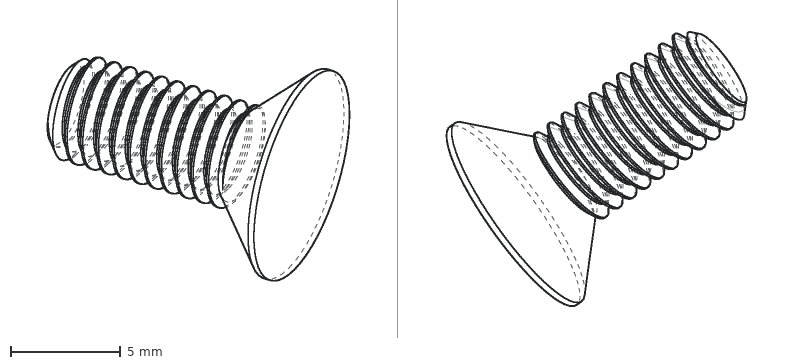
import cadquery as cq
import math

total_length = 12.0
major_radius = 2.5
pitch = 0.8

head_radius = 5.0
head_rim = 0.3
cone_angle = 90.0
cone_slope = math.tan(math.radians(cone_angle / 2))
rim_start = total_length - head_rim

thread_angle = 60.0
flat_width = pitch / 8
flank_width = pitch / 2 - flat_width
flank_slope = math.tan(math.radians(thread_angle / 2))
thread_depth = flank_width / flank_slope
root_radius = major_radius - thread_depth

groove_offset = flat_width / 2 + pitch / 2
first_turn = -1
turn_count = 13
cutter_overlap = 0.04

tip_chamfer = 0.6
tip_radius = major_radius - tip_chamfer


def turned(points):
    """Solid of revolution about X from (x, radius) points."""
    profile = cq.Workplane("XY").polyline(points).close()
    return profile.revolve(360, (0, 0, 0), (1, 0, 0))


def blank_shank():
    """Unthreaded shank with the chamfered tip, ending inside the head."""
    return turned([
        (0, 0),
        (0, tip_radius),
        (tip_chamfer, major_radius),
        (rim_start, major_radius),
        (rim_start, 0),
    ])


def countersunk_head():
    """Head whose cone narrows until it is buried inside the thread root."""
    cone_start = rim_start - (head_radius - tip_radius) / cone_slope
    return turned([
        (cone_start, 0),
        (cone_start, tip_radius),
        (rim_start, head_radius),
        (total_length, head_radius),
        (total_length, 0),
    ])


def groove_turn():
    """One right-hand turn of the groove about Z, starting in the +X direction."""
    top_radius = major_radius + cutter_overlap
    root_half = flat_width / 2
    top_half = root_half + (top_radius - root_radius) * flank_slope
    corners = [
        (root_radius, -root_half),
        (top_radius, -top_half),
        (top_radius, top_half),
        (root_radius, root_half),
    ]
    helices = []
    for radius, height in corners:
        helix = cq.Wire.makeHelix(pitch, pitch, radius)
        helices.append(helix.translate(cq.Vector(0, 0, height)))
    faces = []
    for index, helix in enumerate(helices):
        next_helix = helices[(index + 1) % len(helices)]
        faces.append(cq.Face.makeRuledSurface(helix, next_helix))
    for end_height in (0, pitch):
        outline = [cq.Vector(radius, 0, height + end_height) for radius, height in corners]
        faces.append(cq.Face.makeFromWires(cq.Wire.makePolygon(outline, close=True)))
    return cq.Workplane(cq.Solid.makeSolid(cq.Shell.makeShell(faces)))


def threaded_shank():
    """Shank with the groove cut one turn at a time."""
    turn = groove_turn().rotate((0, 0, 0), (0, 1, 0), 90).rotate((0, 0, 0), (1, 0, 0), 90)
    shank = blank_shank()
    for index in range(first_turn, first_turn + turn_count):
        shank = shank.cut(turn.translate((groove_offset + index * pitch, 0, 0)), clean=False)
    return shank


result = threaded_shank().union(countersunk_head(), clean=False)